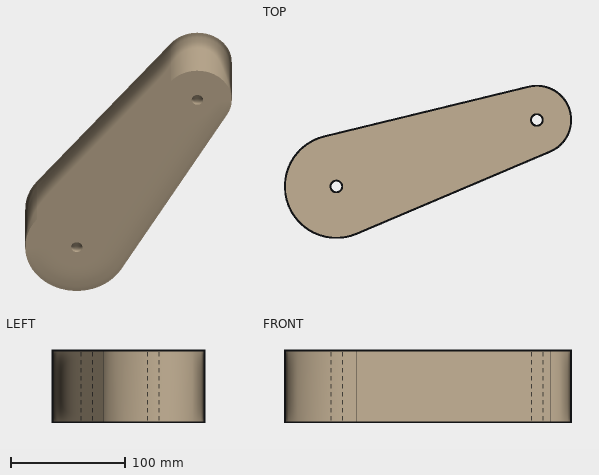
import cadquery as cq
import math

large_radius = 45.0
small_radius = 30.0
center_offset_x = 175.4
center_offset_y = 58.0
thickness = 63.0
hole_diameter = 10.0

large_center = (0, 0)
small_center = (center_offset_x, center_offset_y)

center_distance = math.hypot(center_offset_x, center_offset_y)
arm_angle = math.atan2(center_offset_y, center_offset_x)
tangent_spread = math.acos((large_radius - small_radius) / center_distance)
upper_angle = arm_angle + tangent_spread
lower_angle = arm_angle - tangent_spread


def point_on_circle(center, radius, angle):
    return (center[0] + radius * math.cos(angle), center[1] + radius * math.sin(angle))


arm = (
    cq.Workplane("XY")
    .moveTo(*point_on_circle(large_center, large_radius, lower_angle))
    .lineTo(*point_on_circle(small_center, small_radius, lower_angle))
    .threePointArc(
        point_on_circle(small_center, small_radius, arm_angle),
        point_on_circle(small_center, small_radius, upper_angle),
    )
    .lineTo(*point_on_circle(large_center, large_radius, upper_angle))
    .threePointArc(
        point_on_circle(large_center, large_radius, arm_angle + math.pi),
        point_on_circle(large_center, large_radius, lower_angle),
    )
    .close()
    .extrude(thickness)
)

holes = (
    cq.Workplane("XY")
    .pushPoints([large_center, small_center])
    .circle(hole_diameter / 2)
    .extrude(thickness)
)

result = arm.cut(holes)